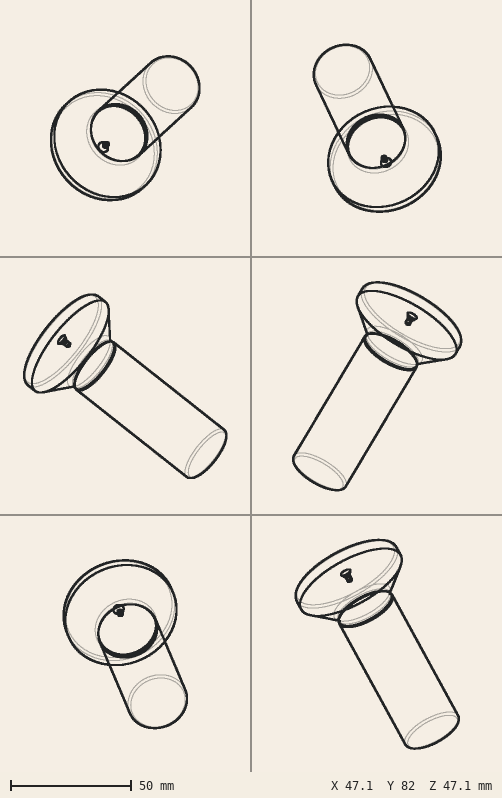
import cadquery as cq
import math

length = 82.0
head_radius = 47.1 / 2
shaft_radius = 25.0 / 2
edge_radius = 1.0

rim_height = 5.0
undercut_depth = 0.25
undercut_taper = 0.5
shaft_start = 18.95
neck_radius = 2.8
cone_angle = math.radians(45)

centre_mouth_radius = 4.35 / 2
centre_radius = 2.0 / 2
centre_depth = 4.1
countersink_half_angle = math.radians(30)
drill_tip_half_angle = math.radians(60)

undercut_radius = shaft_radius - undercut_depth
cone_top_radius = undercut_radius + neck_radius * (1 - math.cos(cone_angle))
cone_top = rim_height + (head_radius - cone_top_radius) / math.tan(cone_angle)
neck_top = cone_top + neck_radius * math.sin(cone_angle)
half_angle = cone_angle / 2
neck_middle = (
    undercut_radius + neck_radius * (1 - math.cos(half_angle)),
    neck_top - neck_radius * math.sin(half_angle),
)


def revolve_about_y(half_profile):
    return half_profile.close().revolve(360, (0, 0, 0), (0, 1, 0))


def make_body():
    profile = (
        cq.Workplane("XY")
        .lineTo(head_radius, 0)
        .lineTo(head_radius, rim_height)
        .lineTo(cone_top_radius, cone_top)
        .threePointArc(neck_middle, (undercut_radius, neck_top))
        .lineTo(undercut_radius, shaft_start - undercut_taper)
        .lineTo(shaft_radius, shaft_start)
        .lineTo(shaft_radius, length)
        .lineTo(0, length)
    )
    body = revolve_about_y(profile)
    return body.faces("<Y or >Y").edges().fillet(edge_radius)


def make_centre_hole():
    sink_depth = (centre_mouth_radius - centre_radius) / math.tan(countersink_half_angle)
    tip_depth = centre_depth + centre_radius / math.tan(drill_tip_half_angle)
    profile = (
        cq.Workplane("XY")
        .lineTo(centre_mouth_radius, 0)
        .lineTo(centre_radius, sink_depth)
        .lineTo(centre_radius, centre_depth)
        .lineTo(0, tip_depth)
    )
    return revolve_about_y(profile)


result = make_body().cut(make_centre_hole())